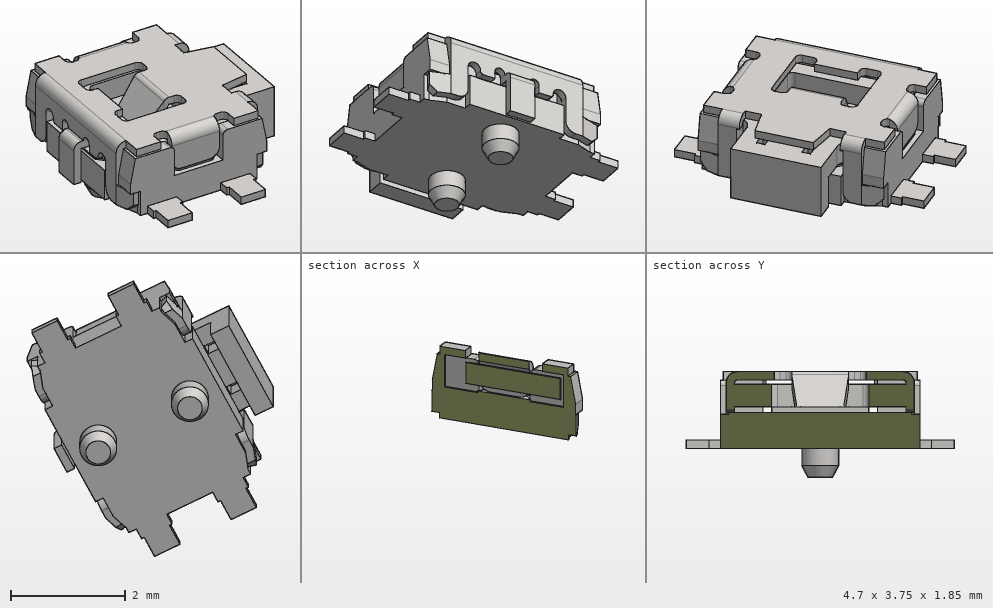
import cadquery as cq
import math


overall_length = 4.7
sheet = 0.15
cover_top = 1.35
cover_underside = cover_top - sheet
bend_radius = 0.2

body_half_x = 1.75
body_corner_y = 1.4
body_top_y = 1.3
body_taper_z = 0.7
floor_z = 0.6
cavity_half_x = 1.505
cavity_half_y = 1.15
opening_half_x = 1.0
block_half_x = 0.97
recess_top_z = 0.5
recess_half_y = 1.2
recess_corner_x = 1.65
side_slot_half_y = 0.5
side_slot_round = 0.1

contact_half_x = 1.65
contact_half_y = 1.4
contact_end_half_width = 0.55
contact_side_half_width = 0.35
contact_height = 0.035

terminal_y = 0.75
terminal_root_x = 1.95
terminal_root_width = 0.6
terminal_tip_width = 0.5
peg_y = 0.902
peg_diameter = 0.65
peg_tip_diameter = 0.432
peg_straight = 0.3
peg_length = 0.505

cover_half_x = 1.7
cover_half_y = 1.45
cover_inner_y = cover_half_y - sheet
plate_half_y = cover_half_y - bend_radius
flap_half_x = 1.35
side_flap_x = 1.65
side_flap_half_y = 0.49
side_flap_bottom = 0.64
side_flap_corner = 0.2
relief_inner_x = 1.4
relief_outer_y = 0.75
relief_round = 0.1

flap_bottom = 0.1
flap_corner = 0.2
wing_end_x = 1.725
wing_drop = 0.12
wing_chamfer = 0.14
arm_notch_width = 0.255
arm_notch_top = 0.9
lip_bottom = 0.7
lip_corner = 0.055
tab_notch_outer_x = 0.45
tab_notch_top = 0.945

tab_half_x = 0.25
tab_reach = 1.645
tab_top = 0.84

back_notch_half_x = 0.95
back_notch_y = 1.165
back_tongue_root_half_x = 0.645
back_tongue_tip_half_x = 0.55
back_tongue_y = 1.715

window_half_x = 0.805
window_back_y = 0.355
window_front_y = -0.945
window_round = 0.1
window_lip_half_x = 0.41
window_lip_y = -0.745
spring_root_half_x = 0.5
spring_tip_half_x = 0.41
spring_bend_y = 0.155
spring_slope_y = 0.05
spring_slope_drop = 0.05
spring_tip_y = -0.41
spring_tip_z = 0.73

push_bottom = 0.73
push_top = 1.13
push_front_y = -1.0
push_front_round = 0.4
push_shoulder_y = 1.1
push_stem_half_x = 0.85
push_stem_round = 0.25
push_head_inner_y = 1.75
push_head_outer_y = 2.105
push_head_bottom = 0.12
push_window_half_x = 0.85
push_window_front_y = -0.685
push_window_back_y = 0.6
push_window_round = 0.1
push_slot_inner_x = 0.35
push_slot_outer_x = 0.508
push_slot_length = 0.3


def block(x0, x1, y0, y1, z0, z1):
    """Axis-aligned box between two opposite corners."""
    return cq.Workplane("XY").box(x1 - x0, y1 - y0, z1 - z0, centered=False).translate((x0, y0, z0))


def prism(points, z0, z1):
    """Polygon in the XY plane, extruded from z0 to z1."""
    return cq.Workplane("XY").workplane(offset=z0).polyline(points).close().extrude(z1 - z0)


def mirrored(half):
    """A half outline given from x = 0 outwards, closed by its mirror image in x = 0."""
    return half + [(-x, y) for x, y in reversed(half) if x != 0]


def both_x(solid):
    return solid.union(solid.mirror("YZ"))


def both_y(solid):
    return solid.union(solid.mirror("XZ"))


def bent_flap(start, reach, half_width, top, bottom, outer_radius):
    """Sheet running along +X at height top, then bent down to bottom at x = reach."""
    flap = (
        cq.Workplane("XZ")
        .polyline([
            (start, top), (reach, top), (reach, bottom),
            (reach - sheet, bottom), (reach - sheet, top - sheet), (start, top - sheet),
        ])
        .close()
        .extrude(half_width, both=True)
    )
    flap = flap.edges("|Y").edges(cq.selectors.NearestToPointSelector((reach, 0, top)))
    flap = flap.fillet(outer_radius)
    inner_radius = outer_radius - sheet
    if inner_radius > 0:
        inner_corner = cq.selectors.NearestToPointSelector((reach - sheet, 0, top - sheet))
        flap = flap.edges("|Y").edges(inner_corner).fillet(inner_radius)
    return flap


def turned(solid, angle):
    return solid.rotate((0, 0, 0), (0, 0, 1), angle)


def make_body():
    body = (
        cq.Workplane("YZ")
        .polyline(mirrored([
            (body_corner_y, 0), (body_corner_y, body_taper_z), (body_top_y, cover_underside),
        ]))
        .close()
        .extrude(body_half_x, both=True)
    )

    end_recess = block(-flap_half_x, flap_half_x, cover_inner_y, cover_half_y, 0, cover_underside)
    corner_recess = prism(
        [
            (flap_half_x, cover_inner_y), (recess_corner_x, recess_half_y), (body_half_x, recess_half_y),
            (body_half_x, cover_half_y), (flap_half_x, cover_half_y),
        ],
        0,
        recess_top_z,
    )
    body = body.cut(both_y(end_recess)).cut(both_x(both_y(corner_recess)))
    body = body.union(block(-block_half_x, block_half_x, -cover_half_y, cover_half_y, 0, floor_z))

    cavity = block(-cavity_half_x, cavity_half_x, -cavity_half_y, cavity_half_y, floor_z, cover_top)
    openings = block(-opening_half_x, opening_half_x, -cover_half_y, cover_half_y, floor_z, cover_top)
    side_slots = (
        cq.Workplane("YZ")
        .moveTo(-side_slot_half_y, floor_z)
        .lineTo(side_slot_half_y, floor_z)
        .lineTo(side_slot_half_y, cover_underside - side_slot_round)
        .radiusArc((side_slot_half_y + side_slot_round, cover_underside), side_slot_round)
        .lineTo(-side_slot_half_y - side_slot_round, cover_underside)
        .radiusArc((-side_slot_half_y, cover_underside - side_slot_round), side_slot_round)
        .close()
        .extrude(body_half_x, both=True)
    )
    body = body.cut(cavity).cut(openings).cut(side_slots)

    contact = (
        cq.Workplane("XY")
        .workplane(offset=floor_z)
        .polyline(mirrored([
            (contact_end_half_width, -contact_half_y), (contact_half_x, -contact_side_half_width),
            (contact_half_x, contact_side_half_width), (contact_end_half_width, contact_half_y),
        ]))
        .close()
        .extrude(contact_height)
    )
    return body.union(contact)


def make_terminals():
    half_root = terminal_root_width / 2
    half_tip = terminal_tip_width / 2
    half_length = overall_length / 2
    root = block(-terminal_root_x, terminal_root_x, -half_root, half_root, 0, sheet)
    tips = block(-half_length, half_length, -half_tip, half_tip, 0, sheet)
    return both_y(root.union(tips).translate((0, terminal_y, 0)))


def make_pegs():
    peg = (
        cq.Workplane("XZ")
        .polyline([
            (0, 0), (peg_diameter / 2, 0), (peg_diameter / 2, -peg_straight),
            (peg_tip_diameter / 2, -peg_length), (0, -peg_length),
        ])
        .close()
        .revolve(360, (0, 0, 0), (0, 1, 0))
    )
    return both_y(peg.translate((0, peg_y, 0)))


def flap_outline():
    """Arm on the +X side in the XZ plane, from the opening out to the wing tip, seen square on."""
    return (
        cq.Workplane("XZ")
        .moveTo(opening_half_x, cover_top)
        .lineTo(opening_half_x, flap_bottom + flap_corner)
        .radiusArc((opening_half_x + flap_corner, flap_bottom), -flap_corner)
        .lineTo(wing_end_x - wing_chamfer, flap_bottom)
        .lineTo(wing_end_x, flap_bottom + wing_chamfer)
        .lineTo(wing_end_x, recess_top_z)
        .lineTo(flap_half_x, recess_top_z)
        .lineTo(flap_half_x, cover_top)
        .close()
        .extrude(cover_half_y, both=True)
    )


def make_end_sheet():
    """Uncut end flap at +Y, with the angled strips that the wings are cut from."""
    flap_start = plate_half_y - bend_radius
    flap = bent_flap(flap_start, cover_half_y, flap_half_x, cover_top, flap_bottom, bend_radius)
    flap = turned(flap, 90)
    wing_slope = (cover_inner_y - recess_half_y) / (recess_corner_x - flap_half_x)
    wing_inner_x = wing_end_x - sheet * wing_slope
    wing = prism(
        [
            (flap_half_x, cover_half_y), (wing_end_x, cover_half_y - wing_drop),
            (wing_inner_x, cover_inner_y - wing_slope * (wing_inner_x - flap_half_x)),
            (flap_half_x, cover_inner_y),
        ],
        flap_bottom,
        recess_top_z,
    )
    return flap.union(both_x(wing))


def make_front_flap():
    arm_notch_radius = arm_notch_width / 2
    tab_notch_width = tab_notch_outer_x - tab_half_x
    tab_notch_radius = tab_notch_width / 2
    notch_inner_x = opening_half_x - arm_notch_width
    bridge = (
        cq.Workplane("XZ")
        .moveTo(0, cover_top)
        .lineTo(0, tab_top - sheet)
        .lineTo(tab_half_x, tab_top - sheet)
        .lineTo(tab_half_x, tab_notch_top - tab_notch_radius)
        .radiusArc((tab_notch_outer_x, tab_notch_top - tab_notch_radius), tab_notch_radius)
        .lineTo(tab_notch_outer_x, lip_bottom)
        .lineTo(notch_inner_x - lip_corner, lip_bottom)
        .radiusArc((notch_inner_x, lip_bottom + lip_corner), -lip_corner)
        .lineTo(notch_inner_x, arm_notch_top - arm_notch_radius)
        .radiusArc((opening_half_x, arm_notch_top - arm_notch_radius), arm_notch_radius)
        .lineTo(opening_half_x, cover_top)
        .close()
        .extrude(cover_half_y, both=True)
    )
    outline = both_x(flap_outline().union(bridge))
    flap = make_end_sheet().mirror("XZ").intersect(outline)
    tab = turned(bent_flap(cover_inner_y, tab_reach, tab_half_x, tab_top, 0, sheet), -90)
    return flap.union(tab)


def make_back_arms():
    upper_strip = block(back_notch_half_x, flap_half_x, 0, cover_half_y, push_top, cover_top)
    return make_end_sheet().intersect(both_x(flap_outline().union(upper_strip)))


def make_side_flap():
    flap = bent_flap(relief_inner_x, side_flap_x, side_flap_half_y, cover_top, side_flap_bottom, bend_radius)
    return flap.edges("|X and <Z").fillet(side_flap_corner)


def make_spring_tongue():
    """Tongue cut from the window and bent down towards the front."""
    slope_y = spring_slope_y - spring_tip_y
    slope_z = cover_top - spring_slope_drop - spring_tip_z
    slope_length = math.hypot(slope_y, slope_z)
    level_thickness = sheet * slope_length / slope_z
    strip = (
        cq.Workplane("YZ")
        .moveTo(window_back_y, cover_top)
        .lineTo(spring_bend_y, cover_top)
        .tangentArcPoint((spring_slope_y, cover_top - spring_slope_drop), relative=False)
        .lineTo(spring_tip_y, spring_tip_z)
        .lineTo(spring_tip_y + level_thickness, spring_tip_z)
        .lineTo(spring_bend_y, cover_underside)
        .lineTo(window_back_y, cover_underside)
        .close()
        .extrude(spring_root_half_x, both=True)
    )
    taper = prism(
        mirrored([
            (spring_root_half_x, window_back_y), (spring_root_half_x, spring_slope_y),
            (spring_tip_half_x, spring_tip_y),
        ]),
        0,
        cover_top,
    )
    return strip.intersect(taper)


def make_cover():
    plate = block(-cover_half_x, cover_half_x, -plate_half_y, plate_half_y, cover_underside, cover_top)

    relief = block(relief_inner_x, cover_half_x, -relief_outer_y, relief_outer_y, cover_underside, cover_top)
    relief_strip = block(relief_inner_x, cover_half_x, -side_flap_half_y, side_flap_half_y,
                         cover_underside, cover_top)
    relief_cuts = relief.cut(relief_strip).edges("|Z and <X").fillet(relief_round)
    plate = plate.cut(both_x(relief_cuts)).cut(both_x(relief_strip))

    window = block(-window_half_x, window_half_x, window_front_y, window_back_y, cover_underside, cover_top)
    front_lip = block(-window_lip_half_x, window_lip_half_x, window_front_y, window_lip_y,
                      cover_underside, cover_top)
    spring_root = block(-spring_root_half_x, spring_root_half_x, spring_bend_y, window_back_y,
                        cover_underside, cover_top)
    window = window.cut(front_lip).cut(spring_root)
    window = window.edges("|Z and (>Y or <Y)").fillet(window_round)

    cover = plate.cut(window).union(make_front_flap()).union(make_back_arms())
    cover = cover.union(both_x(make_side_flap())).union(make_spring_tongue())

    back_notch = block(-back_notch_half_x, back_notch_half_x, back_notch_y, cover_half_y,
                       cover_underside, cover_top)
    back_tongue = prism(
        mirrored([(back_tongue_root_half_x, back_notch_y), (back_tongue_tip_half_x, back_tongue_y)]),
        cover_underside,
        cover_top,
    )
    return cover.cut(back_notch).union(back_tongue)


def make_actuator():
    frame = prism(
        mirrored([
            (cavity_half_x, push_front_y), (cavity_half_x, push_shoulder_y),
            (push_stem_half_x, push_shoulder_y), (push_stem_half_x, push_head_outer_y),
        ]),
        push_bottom,
        push_top,
    )
    frame = frame.edges("|Z and <Y").fillet(push_front_round)
    for side in (-1, 1):
        corner = cq.selectors.NearestToPointSelector((side * push_stem_half_x, push_shoulder_y, push_bottom))
        frame = frame.edges("|Z").edges(corner).fillet(push_stem_round)

    window = block(-push_window_half_x, push_window_half_x, push_window_front_y, push_window_back_y,
                   push_bottom, push_top)
    window = window.edges("|Z").fillet(push_window_round)
    slot = block(push_slot_inner_x, push_slot_outer_x, push_head_inner_y - push_slot_length,
                 push_head_inner_y, push_bottom, push_top)
    head = block(-push_stem_half_x, push_stem_half_x, push_head_inner_y, push_head_outer_y,
                 push_head_bottom, push_top)
    return frame.cut(window).cut(both_x(slot)).union(head)


result = (
    make_body()
    .union(make_terminals())
    .union(make_pegs())
    .union(make_cover())
    .union(make_actuator())
)